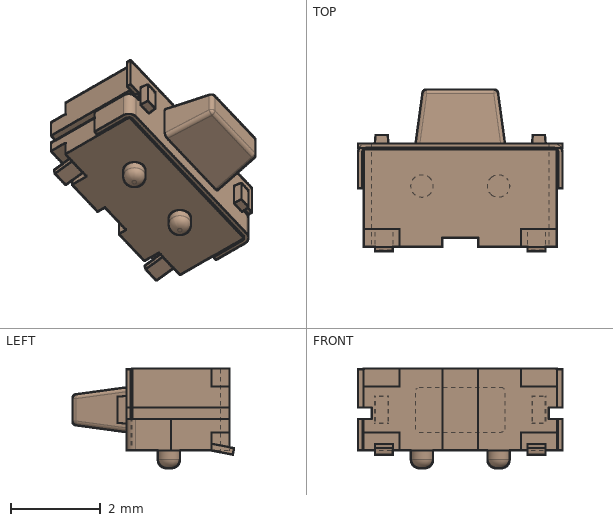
import cadquery as cq
import math


housing_width = 4.29
housing_depth = 2.17
housing_height = 1.82
corner_width = 0.79
corner_size = 0.4
groove_width = 0.79
groove_depth = 0.2
slot_bottom = 0.7
slot_top = 0.945
slot_half_span = 1.97

peg_radius = 0.25
peg_length = 0.4
peg_rounding = 0.2
peg_x = 0.85
peg_y = 1.35

lead_width = 0.405
lead_thickness = 0.15
lead_slope = 11.0
lead_x = 1.695
lead_root_top = 0.145
lead_overhang = 0.1

frame_width = 4.55
frame_height = 1.805
sheet = 0.1
frame_gap = 0.027
bend_radius = 2 * sheet
arm_end = 1.3
frame_front = housing_depth + frame_gap
frame_back = frame_front + sheet

button_width = 1.995
button_height = 1.0
button_length = 1.2
button_draft = 7.8
button_rounding = 0.1
lug_width = 0.31
lug_height = 0.615
lug_length = 0.19
lug_draft = 5.0
lug_x = 1.745
button_z = 0.9

sides = (-1, 1)


def block(x_range, y_range, z_range):
    """Box between the given limits along each axis."""
    (x0, x1), (y0, y1), (z0, z1) = x_range, y_range, z_range
    return cq.Workplane("XY").box(x1 - x0, y1 - y0, z1 - z0, centered=False).translate((x0, y0, z0))


def centred_block(width, y_range, z_range):
    """Box of the given width, centred on X = 0."""
    return block((-width / 2, width / 2), y_range, z_range)


def housing_block():
    """Housing body with corner recesses, front groove and side slots."""
    body = centred_block(housing_width, (0, housing_depth), (0, housing_height))
    body = body.cut(centred_block(groove_width, (0, groove_depth), (0, housing_height)))
    half = housing_width / 2
    for side in sides:
        corner_x = sorted((side * half, side * (half - corner_width)))
        for z_bottom in (0, housing_height - corner_size):
            body = body.cut(block(corner_x, (0, corner_size), (z_bottom, z_bottom + corner_size)))
        slot_x = sorted((side * half, side * slot_half_span))
        body = body.cut(block(slot_x, (0, housing_depth), (slot_bottom, slot_top)))
    return body


def peg(x):
    """Round-ended locating peg hanging from the housing underside."""
    return (
        cq.Workplane("XY")
        .center(x, peg_y)
        .circle(peg_radius)
        .extrude(-peg_length)
        .faces("<Z")
        .edges()
        .fillet(peg_rounding)
    )


def lead(x):
    """Flat lead sloping down and forward from the back wall of a lower corner recess."""
    slope = math.radians(lead_slope)
    root_bottom = lead_root_top - lead_thickness / math.cos(slope)
    reach = corner_size + lead_overhang
    tip_top = (-lead_overhang, lead_root_top - reach * math.tan(slope))
    tip_bottom = (
        tip_top[0] + lead_thickness * math.sin(slope),
        tip_top[1] - lead_thickness * math.cos(slope),
    )
    return (
        cq.Workplane("YZ")
        .polyline([(corner_size, root_bottom), (corner_size, lead_root_top), tip_top, tip_bottom])
        .close()
        .extrude(lead_width / 2, both=True)
        .translate((x, 0, 0))
    )


def make_housing():
    """Housing with its pegs and leads."""
    body = housing_block()
    for side in sides:
        body = body.union(peg(side * peg_x))
        body = body.union(lead(side * lead_x))
    return body


def bent_strip():
    """Lower strip of the frame, bent forward at both ends into side arms."""
    outer = centred_block(frame_width, (arm_end, frame_back), (0, slot_bottom))
    outer = outer.edges("|Z and >Y").fillet(bend_radius)
    inner = centred_block(frame_width - 2 * sheet, (arm_end, frame_front), (0, slot_bottom))
    inner = inner.edges("|Z and >Y").fillet(bend_radius - sheet)
    return outer.cut(inner)


def tapered_boss(x, width, height, length, draft):
    """Rectangular boss on the back of the frame, narrowing by the draft angle."""
    return (
        cq.Workplane("XZ", origin=(x, frame_back, button_z))
        .rect(width, height)
        .extrude(-length, taper=draft)
    )


def button():
    """Tapered button, rounded on its long edges and around its end."""
    boss = tapered_boss(0, button_width, button_height, button_length, button_draft)
    return boss.edges("not <Y").fillet(button_rounding)


def make_frame():
    """Sheet frame with side arms, button and lugs."""
    plate_y = (frame_front, frame_back)
    body = bent_strip()
    body = body.union(centred_block(2 * slot_half_span, plate_y, (0, frame_height)))
    body = body.union(centred_block(frame_width, plate_y, (slot_top, frame_height)))
    body = body.union(button())
    for side in sides:
        body = body.union(tapered_boss(side * lug_x, lug_width, lug_height, lug_length, lug_draft))
    return body


housing = make_housing()
frame = make_frame()
result = cq.Compound.makeCompound([housing.val(), frame.val()])